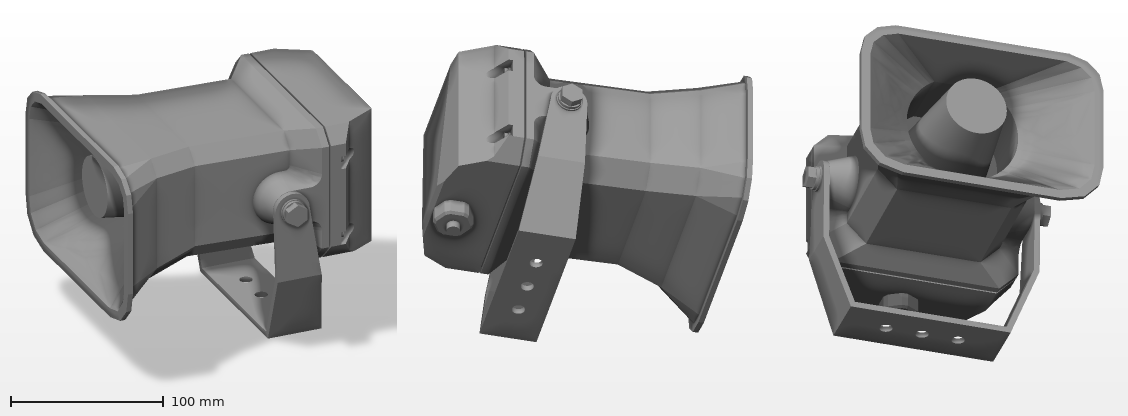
import cadquery as cq
import math


rim_half_width, rim_top, rim_bottom = 83.2, 43.6, -68.4
rim_thickness = 3.5
rim_wall = 6.1
flare_root_half_width, flare_root_top, flare_root_bottom = 78.5, 40.8, -63.2
flare_root_corner_scale = 0.88
opening_corner_scale = 0.81
rim_top_corner = [(23.8, 0), (11.1, 3.8), (2.8, 11.9), (0, 24.2)]
rim_bottom_corner = [(29.0, 0), (12.9, 4.4), (2.8, 15.3), (0, 29.1)]

flare_end_y, neck_y, throat_end_y, box_front_y = 30.1, 61.6, 129.5, 144.7
top_corner, bottom_corner = 10.0, 13.3
flare_end_size = (62.0, 40.2, -48.5)
neck_size = (52.5, 38.6, -42.8)
throat_end_size = (52.5, 37.0, -45.0)
box_size = (70.4, 43.6, -53.0)
box_half_width, box_top, box_bottom = box_size

funnel_depth, bore_depth = 43.6, 89.2
bore_radius = 38.3
bore_ceiling = 33.1
bore_angles = [54, 47, 34.5, -13, -23, -34.7, -44.8]
plug_front_y = 12.9
plug_front_radius, plug_base_radius = 20.8, 30.7

gap_start_y, gap_end_y = 149.8, 151.2
gap_depth = 3.0
cover_end_y = 198.2
cover_shoulder = (box_half_width, 161.7)
cover_waist = (59.7, 169.0)
cover_rear_corner = (47.8, 190.0)
cover_rear_tip = (20.8, cover_end_y)
rear_lean = 5.2
rear_face_top, rear_face_bottom = 40.2, -50.0
rear_bottom_edge_y = 195.5

screw_levels = [20.0, -34.9]
screw_x = 61.6
screw_floor_y = 158.8
screw_pocket_radius = 4.5
screw_washer_radius, screw_washer_thickness = 4.0, 1.5
screw_head_radius, screw_head_height = 3.4, 2.5

gland_y = 182.1
gland_radius, gland_height = 14.3, 10.7
gland_corner_cut, gland_end_chamfer = 2.4, 1.5
cable_radius, cable_length = 4.5, 5.0

pivot_y, pivot_z = 121.9, -6.0
boss_face_radius, boss_base_radius = 12.5, 18.8
boss_face_flare, boss_base_flare = 8.1, 3.4
boss_embed = 3.0

bracket_thickness = 4.0
bracket_half_width = box_half_width + bracket_thickness
bracket_bend_z, bracket_foot_z = -56.3, -105.8
bracket_foot_half_width = 55.0
bracket_end_radius = 12.3
bracket_foot_front_y, bracket_foot_rear_y = 112.8, 151.2
bracket_hole_radius, bracket_hole_pitch, bracket_hole_y = 4.4, 24.8, 132.2
bolt_washers = [(8.5, 1.4), (8.0, 2.2)]
bolt_head_apothem = 6.7


def section_wire(points, y):
    """Closed polygon of (x, z) points in the plane at y."""
    return cq.Wire.makePolygon([cq.Vector(x, y, z) for x, z in points], close=True)


def mirror_half(right_side):
    """Complete an outline from its +X half, listed from top to bottom."""
    return right_side + [(-x, z) for x, z in reversed(right_side)]


def mouth_outline(half_width, top, bottom, corner_scale):
    upper = [(half_width - corner_scale * dx, top - corner_scale * dz) for dx, dz in rim_top_corner]
    lower = [(half_width - corner_scale * dx, bottom + corner_scale * dz) for dx, dz in rim_bottom_corner]
    return mirror_half(upper + lower[::-1])


def octagon(half_width, top, bottom):
    return mirror_half([
        (half_width - top_corner, top),
        (half_width, top - top_corner),
        (half_width, bottom + bottom_corner),
        (half_width - bottom_corner, bottom),
    ])


def octagon_block(size, y_start, y_end):
    return cq.Solid.makeLoft([section_wire(octagon(*size), y) for y in (y_start, y_end)], True)


def y_cylinder(radius, length, x, y, z):
    return cq.Solid.makeCylinder(radius, length, cq.Vector(x, y, z), cq.Vector(0, 1, 0))


def make_rim():
    outline = mouth_outline(rim_half_width, rim_top, rim_bottom, 1)
    return cq.Solid.makeLoft([section_wire(outline, y) for y in (0, rim_thickness)], True)


def make_flare():
    """Each throat corner fans out to two corners of the mouth outline."""
    mouth = mouth_outline(flare_root_half_width, flare_root_top, flare_root_bottom, flare_root_corner_scale)
    front = [cq.Vector(x, rim_thickness, z) for x, z in mouth]
    rear = [cq.Vector(x, flare_end_y, z) for x, z in octagon(*flare_end_size)]
    faces = [cq.Face.makeFromWires(cq.Wire.makePolygon(ring, close=True)) for ring in (front, rear)]
    for i, corner in enumerate(rear):
        first, second = front[2 * i], front[2 * i + 1]
        fan = cq.Wire.makePolygon([first, second, corner], close=True)
        faces.append(cq.Face.makeFromWires(fan))
        next_first = front[(2 * i + 2) % len(front)]
        next_corner = rear[(i + 1) % len(rear)]
        faces.append(cq.Face.makeRuledSurface(
            cq.Edge.makeLine(second, next_first), cq.Edge.makeLine(corner, next_corner)))
    return cq.Solid.makeSolid(cq.Shell.makeShell(faces))


def make_throat():
    stations = [
        (flare_end_size, flare_end_y),
        (neck_size, neck_y),
        (throat_end_size, throat_end_y),
        (box_size, box_front_y),
        (box_size, gap_start_y),
    ]
    return cq.Solid.makeLoft([section_wire(octagon(*size), y) for size, y in stations], True)


def make_gasket():
    inner_size = (box_half_width - gap_depth, box_top - gap_depth, box_bottom + gap_depth)
    return octagon_block(inner_size, gap_start_y, gap_end_y)


def make_cover():
    block = octagon_block(box_size, gap_end_y, cover_end_y)
    plan_half = [(box_half_width, gap_end_y), cover_shoulder, cover_waist, cover_rear_corner, cover_rear_tip]
    height = box_top - box_bottom
    plan = cq.Workplane("XY", origin=(0, 0, box_bottom)).polyline(mirror_half(plan_half)).close()
    plan = plan.extrude(height)
    side_points = [
        (gap_end_y, box_top),
        (cover_rear_corner[1], box_top),
        (cover_end_y - rear_lean, rear_face_top),
        (cover_end_y, rear_face_bottom),
        (rear_bottom_edge_y, box_bottom),
        (gap_end_y, box_bottom),
    ]
    side = cq.Workplane("YZ").polyline(side_points).close().extrude(box_half_width, both=True)
    return plan.intersect(side).intersect(cq.Workplane(block))


def screw_pocket(side, z):
    """Round-bottomed slot that is open to the side and rear of the cover."""
    length = cover_end_y - screw_floor_y
    bore = y_cylinder(screw_pocket_radius, length, side * screw_x, screw_floor_y, z)
    slot_x = side * (screw_x + box_half_width) / 2
    slot = cq.Workplane("XY").box(box_half_width - screw_x, length, 2 * screw_pocket_radius)
    return slot.translate((slot_x, screw_floor_y + length / 2, z)).union(cq.Workplane(bore))


def make_screw(side, z):
    x = side * screw_x
    washer = y_cylinder(screw_washer_radius, screw_washer_thickness, x, screw_floor_y, z)
    head_y = screw_floor_y + screw_washer_thickness
    head = y_cylinder(screw_head_radius, screw_head_height, x, head_y, z)
    return cq.Workplane(washer).union(cq.Workplane(head))


def make_gland():
    nut = cq.Workplane("XY", origin=(0, gland_y, box_bottom)).transformed(rotate=(0, 0, 90))
    nut = nut.polygon(6, 2 * gland_radius).extrude(-gland_height)
    nut = nut.edges("|Z").chamfer(gland_corner_cut).faces("<Z").chamfer(gland_end_chamfer)
    return nut.faces("<Z").workplane(origin=(0, gland_y, 0)).circle(cable_radius).extrude(cable_length)


def boss_wire(x, radius, flare, flare_y):
    """U-shaped outline around the pivot whose legs flare out towards flare_y."""
    def at(y, height):
        return cq.Vector(x, y, pivot_z + height)

    root_y = flare_y + boss_embed
    leg_y = flare_y - flare
    root_height = radius + flare
    bulge = flare * math.sin(math.radians(45))
    bulge_y = leg_y + bulge
    bulge_height = root_height - bulge
    return cq.Wire.assembleEdges([
        cq.Edge.makeLine(at(root_y, root_height), at(flare_y, root_height)),
        cq.Edge.makeThreePointArc(at(flare_y, root_height), at(bulge_y, bulge_height), at(leg_y, radius)),
        cq.Edge.makeLine(at(leg_y, radius), at(pivot_y, radius)),
        cq.Edge.makeThreePointArc(at(pivot_y, radius), at(pivot_y - radius, 0), at(pivot_y, -radius)),
        cq.Edge.makeLine(at(pivot_y, -radius), at(leg_y, -radius)),
        cq.Edge.makeThreePointArc(at(leg_y, -radius), at(bulge_y, -bulge_height), at(flare_y, -root_height)),
        cq.Edge.makeLine(at(flare_y, -root_height), at(root_y, -root_height)),
        cq.Edge.makeLine(at(root_y, -root_height), at(root_y, root_height)),
    ])


def make_boss(side):
    face = boss_wire(side * box_half_width, boss_face_radius, boss_face_flare, box_front_y)
    base = boss_wire(side * throat_end_size[0], boss_base_radius, boss_base_flare, throat_end_y)
    return cq.Solid.makeLoft([face, base], True)


def make_cavity():
    """Ruled funnel from the faceted opening to a round bore with a flat ceiling."""
    opening = mouth_outline(rim_half_width - rim_wall, rim_top - rim_wall, rim_bottom + rim_wall,
                            opening_corner_scale)
    ceiling_angle = math.degrees(math.asin(bore_ceiling / bore_radius))
    right_angles = [ceiling_angle] + bore_angles
    angles = right_angles + [-180 - a for a in reversed(right_angles)]

    def bore_point(angle):
        a = math.radians(angle)
        return cq.Vector(bore_radius * math.cos(a), funnel_depth, bore_radius * math.sin(a))

    edges = [
        cq.Edge.makeThreePointArc(bore_point(a), bore_point((a + b) / 2), bore_point(b))
        for a, b in zip(angles, angles[1:])
    ]
    edges.append(cq.Edge.makeLine(bore_point(angles[-1]), bore_point(angles[0])))
    funnel = cq.Solid.makeLoft([section_wire(opening, 0), cq.Wire.assembleEdges(edges)], True)

    bore = cq.Workplane(y_cylinder(bore_radius, bore_depth - funnel_depth, 0, funnel_depth, 0))
    above_ceiling = cq.Workplane("XY", origin=(0, 0, bore_ceiling))
    above_ceiling = above_ceiling.rect(2 * bore_radius, 2 * bore_depth).extrude(bore_radius)
    return cq.Workplane(funnel).union(bore.cut(above_ceiling))


def make_plug():
    return cq.Solid.makeCone(plug_front_radius, plug_base_radius, bore_depth - plug_front_y,
                             cq.Vector(0, plug_front_y, 0), cq.Vector(0, 1, 0))


def make_horn():
    horn = make_cover()
    for side in (-1, 1):
        for z in screw_levels:
            horn = horn.cut(screw_pocket(side, z)).union(make_screw(side, z))
    horn = horn.union(make_gland())
    for block in (make_gasket(), make_throat(), make_flare(), make_rim(), make_boss(-1), make_boss(1)):
        horn = horn.union(cq.Workplane(block))
    return horn.cut(make_cavity()).union(cq.Workplane(make_plug()))


def make_bolt(side):
    """Washers and hexagonal head on the outer face of a bracket leg."""
    x = bracket_half_width
    washers = []
    for radius, thickness in bolt_washers:
        centre = cq.Vector(side * x, pivot_y, pivot_z)
        washers.append(cq.Solid.makeCylinder(radius, thickness, centre, cq.Vector(side, 0, 0)))
        x += thickness
    across_corners = 2 * bolt_head_apothem / math.cos(math.radians(30))
    head = cq.Workplane("YZ", origin=(side * x, pivot_y, pivot_z)).transformed(rotate=(0, 0, 90))
    bolt = head.polygon(6, across_corners).extrude(side * (rim_half_width - x))
    for washer in washers:
        bolt = bolt.union(cq.Workplane(washer))
    return bolt


def make_bracket():
    """Bent strap with tapered legs, bolted to both pivot bosses."""
    leg_top = pivot_z + bracket_end_radius
    outer = mirror_half([
        (bracket_half_width, leg_top + bracket_thickness),
        (bracket_half_width, bracket_bend_z),
        (bracket_foot_half_width, bracket_foot_z),
    ])
    side_width = bracket_foot_rear_y - bracket_foot_front_y
    front = cq.Workplane("XZ", origin=(0, pivot_y - side_width, 0))
    strap_depth = 2 * side_width
    inside = front.polyline(outer).close().offset2D(-bracket_thickness).extrude(-strap_depth)
    strap = front.polyline(outer).close().extrude(-strap_depth).cut(inside)

    legs = cq.Workplane("YZ").polyline([
        (pivot_y - bracket_end_radius, pivot_z),
        (bracket_foot_front_y, bracket_foot_z),
        (bracket_foot_rear_y, bracket_foot_z),
        (pivot_y + bracket_end_radius, pivot_z),
    ]).close().extrude(bracket_half_width, both=True)
    ends = cq.Workplane("YZ").center(pivot_y, pivot_z).circle(bracket_end_radius)
    bracket = strap.intersect(legs.union(ends.extrude(bracket_half_width, both=True)))

    for x in (-bracket_hole_pitch, 0, bracket_hole_pitch):
        hole = cq.Workplane("XY", origin=(x, bracket_hole_y, bracket_foot_z)).circle(bracket_hole_radius)
        bracket = bracket.cut(hole.extrude(bracket_thickness))
    for side in (-1, 1):
        bracket = bracket.union(make_bolt(side))
    return bracket


horn = make_horn()
bracket = make_bracket()
result = cq.Compound.makeCompound([horn.solids().val(), bracket.solids().val()])